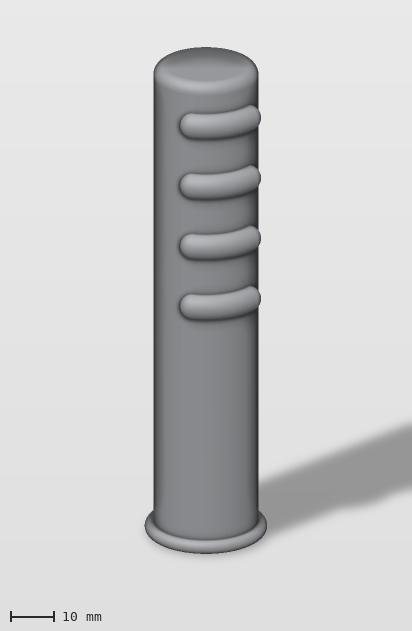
import cadquery as cq
import math

total_height = 116.0
body_diameter = 24.0
body_radius = body_diameter / 2
top_fillet = 2.5

flange_diameter = 28.0
flange_radius = flange_diameter / 2
flange_height = 3.1
rim_radius = flange_height / 2

rib_count = 4
rib_pitch = 15.0
top_rib_drop = 10.1
rib_radius = 3.0
rib_half_angle = 33.3


def make_post():
    return cq.Workplane("XY").circle(body_radius).extrude(total_height).faces(">Z").edges().fillet(top_fillet)


def make_flange():
    flat_radius = flange_radius - rim_radius
    return (
        cq.Workplane("XZ")
        .lineTo(flat_radius, 0)
        .threePointArc((flange_radius, rim_radius), (flat_radius, flange_height))
        .lineTo(0, flange_height)
        .close()
        .revolve(360, (0, 0, 0), (0, 1, 0))
    )


def make_rib(height):
    """Bent bar centred on the post surface, closed by a ball at each end."""
    rib = (
        cq.Workplane("XZ")
        .center(body_radius, 0)
        .circle(rib_radius)
        .revolve(2 * rib_half_angle, (-body_radius, 0, 0), (-body_radius, 1, 0))
        .rotate((0, 0, 0), (0, 0, 1), -rib_half_angle)
    )
    end_x = body_radius * math.cos(math.radians(rib_half_angle))
    end_y = body_radius * math.sin(math.radians(rib_half_angle))
    for side in (-1, 1):
        ball = cq.Workplane("XY").sphere(rib_radius).translate((end_x, side * end_y, 0))
        rib = rib.union(ball)
    return rib.translate((0, 0, height))


result = make_post().union(make_flange())
for index in range(rib_count):
    result = result.union(make_rib(total_height - top_rib_drop - index * rib_pitch))